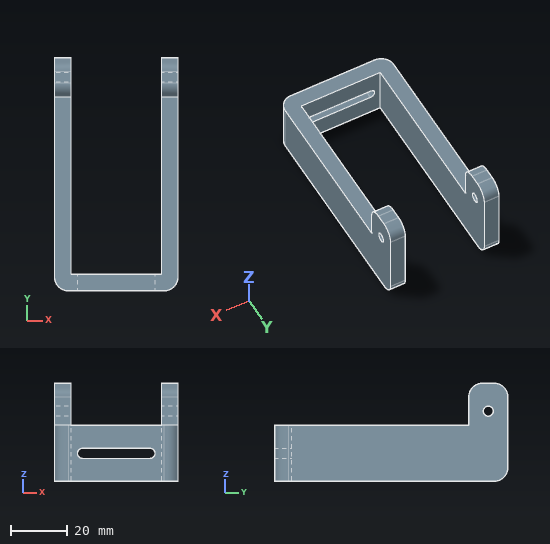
import cadquery as cq

width = 44.0
length = 83.0
band_height = 20.0
wall = 6.0

ear_length = 14.0
ear_height = 35.0
hole_diameter = 3.5
hole_height = 25.0

slot_length = 27.5
slot_width = 3.5

corner_radius = 5.0

ear_front = length - ear_length
ear_middle = length - ear_length / 2


def make_side_profile_block():
    """Solid with the L-shaped arm profile, spanning the full width."""
    block = (
        cq.Workplane("YZ")
        .polyline([
            (0, 0),
            (length, 0),
            (length, ear_height),
            (ear_front, ear_height),
            (ear_front, band_height),
            (0, band_height),
        ])
        .close()
        .extrude(width / 2, both=True)
    )
    ear_top_edges = block.faces(">Z").edges("|X")
    block = ear_top_edges.fillet(corner_radius)
    block = block.edges("|X").edges(">Y").edges("<Z").fillet(corner_radius)
    return block


def round_closed_end(block):
    """Round the two vertical corners of the closed end."""
    return block.faces("<Y").edges("|Z").fillet(corner_radius)


def make_inner_opening():
    """Space between the arms, open at the far end."""
    return (
        cq.Workplane("XY")
        .box(width - 2 * wall, length, ear_height, centered=(True, False, False))
        .translate((0, wall, 0))
    )


def make_ear_holes():
    """Cross hole running through both ears."""
    return (
        cq.Workplane("YZ")
        .center(ear_middle, hole_height)
        .circle(hole_diameter / 2)
        .extrude(width / 2, both=True)
    )


def make_end_slot():
    """Horizontal slot centred in the closed end."""
    return (
        cq.Workplane("XZ")
        .center(0, band_height / 2)
        .slot2D(slot_length, slot_width)
        .extrude(-wall)
    )


body = round_closed_end(make_side_profile_block())
result = body.cut(make_inner_opening()).cut(make_ear_holes()).cut(make_end_slot())